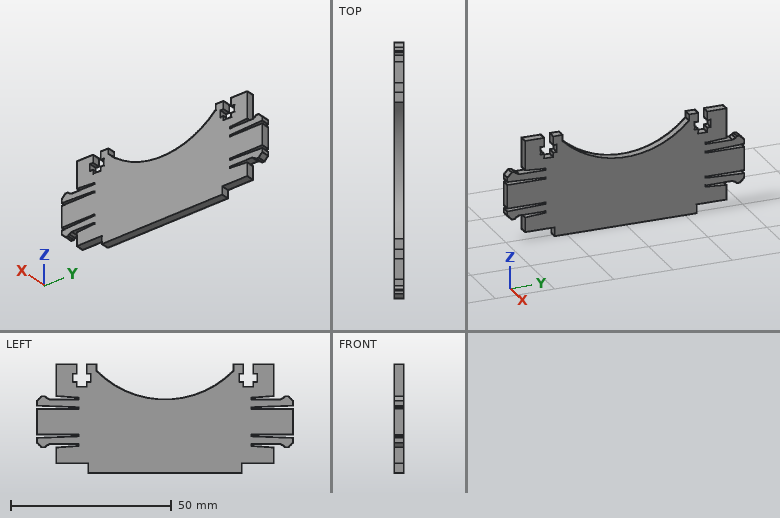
import cadquery as cq

thickness = 3.0
height = 34.0

foot_half_width = 24.0
foot_height = 3.0
tip_half_width = 40.0
tab_reach = 6.0
body_half_width = tip_half_width - tab_reach

cradle_radius = 30.0
cradle_bottom_z = 23.0
cradle_mouth_half_width = 21.35

screw_slot_center_y = 26.0
screw_slot_width = 3.0
screw_slot_depth = 7.0
nut_width = 5.5
nut_thickness = 2.5
nut_depth = 3.0

tab_center_z = 16.0
tab_half_height = 4.0
clip_root_y = 27.0

root_gap = 0.5
arm_root_thickness = 2.5
inner_gap_at_tip = 1.0
outer_gap_at_body_edge = 1.0

hook_height = 1.0
tip_chamfer = 1.5
hook_crest_length = 1.0
hook_back_chamfer = 0.5
hook_heel_length = 1.0

tab_top_z = tab_center_z + tab_half_height
arm_inner_root_z = tab_top_z + root_gap
arm_inner_tip_z = tab_top_z + inner_gap_at_tip
arm_outer_z = arm_inner_root_z + arm_root_thickness
hook_top_z = arm_outer_z + hook_height
clearance_root_z = arm_outer_z + root_gap
clearance_edge_z = arm_outer_z + outer_gap_at_body_edge

crest_outer_y = tip_half_width - tip_chamfer
crest_inner_y = crest_outer_y - hook_crest_length
knee_y = crest_inner_y - hook_back_chamfer
heel_y = knee_y - hook_heel_length


def make_block(center_y, width, bottom_z, top_z):
    """Rectangular block through the full plate thickness."""
    block = cq.Workplane("XY").box(thickness, width, top_z - bottom_z, centered=(True, True, False))
    return block.translate((0, center_y, bottom_z))


def extrude_profile(points):
    """Extrude a closed (Y, Z) outline through the plate thickness."""
    return cq.Workplane("YZ").polyline(points).close().extrude(thickness / 2, both=True)


def make_body():
    """Main plate standing on a narrower foot."""
    foot = make_block(0, 2 * foot_half_width, 0, foot_height)
    plate = make_block(0, 2 * body_half_width, foot_height, height)
    return foot.union(plate)


def make_cradle_cut():
    """Cylinder for the cradle, trimmed to the straight sides of its mouth."""
    cylinder = (
        cq.Workplane("YZ")
        .center(0, cradle_bottom_z + cradle_radius)
        .circle(cradle_radius)
        .extrude(thickness / 2, both=True)
    )
    mouth = make_block(0, 2 * cradle_mouth_half_width, 0, height)
    return cylinder.intersect(mouth)


def make_screw_slot():
    """Open screw slot crossed by a nut pocket, on the +Y side."""
    nut_top_z = height - nut_depth
    slot = make_block(screw_slot_center_y, screw_slot_width, height - screw_slot_depth, height)
    nut = make_block(screw_slot_center_y, nut_width, nut_top_z - nut_thickness, nut_top_z)
    return slot.union(nut)


def make_clip_clearance():
    """Tapered space cut from the body for the upper +Y clip and its gaps."""
    return extrude_profile([
        (clip_root_y, tab_top_z),
        (body_half_width, tab_top_z),
        (body_half_width, clearance_edge_z),
        (clip_root_y, clearance_root_z),
    ])


def make_clip():
    """Upper +Y spring arm with a hooked end."""
    return extrude_profile([
        (clip_root_y, arm_inner_root_z),
        (tip_half_width, arm_inner_tip_z),
        (tip_half_width, hook_top_z - tip_chamfer),
        (crest_outer_y, hook_top_z),
        (crest_inner_y, hook_top_z),
        (knee_y, hook_top_z - hook_back_chamfer),
        (heel_y, arm_outer_z),
        (clip_root_y, arm_outer_z),
    ])


def mirror_sides(shape):
    """Shape plus its mirror image about Y = 0."""
    return shape.union(shape.mirror("XZ"))


def mirror_about_tab(shape):
    """Shape plus its mirror image about the tab mid-height."""
    return shape.union(shape.mirror("XY", (0, 0, tab_center_z)))


body = make_body().cut(make_cradle_cut())
body = body.cut(mirror_sides(make_screw_slot()))
body = body.cut(mirror_sides(mirror_about_tab(make_clip_clearance())))

tabs = make_block(0, 2 * tip_half_width, tab_center_z - tab_half_height, tab_top_z)
clips = mirror_sides(mirror_about_tab(make_clip()))

result = body.union(tabs).union(clips)